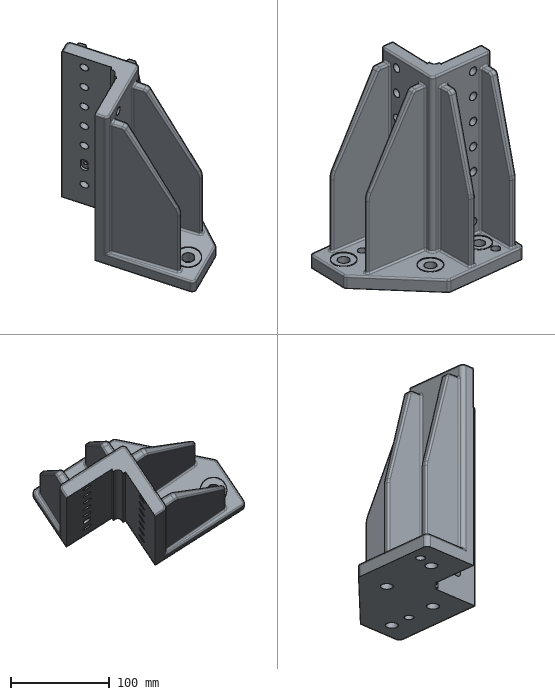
import cadquery as cq
import math

LENGTH = 175.0
DEPTH = 130.0
HEIGHT = 224.0
BASE_THICKNESS = 15.0
BASE_SIDE_LENGTH = 55.0

INNER = 65.0
WALL_THICKNESS = 15.0
OUTER = INNER + WALL_THICKNESS

PAD_WIDTH = 10.0
PAD_THICKNESS = 3.0
PAD_RADIUS = 5.0

CORNER_RADIUS = 5.0
EDGE_RADIUS = 2.0

RIB_OFFSETS = (10.0, 65.0)
RIB_ROOT_WIDTH = 10.0
RIB_DRAFT = 2.0
RIB_TOP = 210.0
RIB_TOP_END = 95.0
X_RIB_END = 155.0
X_RIB_SLOPE = 60.0
Y_RIB_END = 125.0
Y_RIB_SLOPE = 75.0
RIB_TOP_BEND = 5.0
RIB_SHOULDER_BEND = 20.0

BOLT_DIAMETER = 13.0
SPOTFACE_DIAMETER = 27.0
SPOTFACE_DEPTH = 1.0
BOLT_POSITIONS = ((30.0, 95.0), (95.0, 95.0), (95.0, 30.0), (155.0, 30.0))
PIN_DIAMETER = 10.0
PIN_POSITIONS = ((25.0, 115.0), (130.0, 30.0))

ROW_OFFSET = 25.0
ROW_PITCH = 30.0
ROW_COUNT = 7
ROW_HEIGHTS = [ROW_PITCH * step for step in range(1, ROW_COUNT + 1)]
ROW_HOLE_DIAMETER = 9.5
SLOT_HEIGHT = ROW_HEIGHTS[1]
SLOT_WIDTH = 8.5
SLOT_LENGTH = 16.0
SLOT_DEPTH = 3.0
SLOT_HOLE_DIAMETER = 4.0

SELECTION_MARGIN = 0.1


def base_plate():
    bevel = DEPTH - BASE_SIDE_LENGTH
    outline = [
        (0, 0),
        (LENGTH, 0),
        (LENGTH, BASE_SIDE_LENGTH),
        (LENGTH - bevel, DEPTH),
        (0, DEPTH),
    ]
    plate = cq.Workplane("XY").polyline(outline).close().extrude(BASE_THICKNESS)
    plate = plate.edges("|Z and (>X or >Y)").fillet(CORNER_RADIUS)
    return plate.faces(">Z").edges().fillet(EDGE_RADIUS)


def wall_block():
    """Solid block bounded by the back faces of the wall; corner_void hollows out its front."""
    block = cq.Workplane("XY").rect(OUTER, OUTER, centered=False).extrude(HEIGHT)
    block = block.edges("|Z and (>X or >Y)").fillet(CORNER_RADIUS)
    return block.faces(">Z").edges().fillet(EDGE_RADIUS)


def corner_void():
    """Space in front of the two working faces, leaving the stepped corner pad standing."""
    pad_end = INNER - PAD_WIDTH
    pad_face = INNER - PAD_THICKNESS
    arc_centre = pad_face - PAD_RADIUS
    arc_middle = arc_centre + PAD_RADIUS * math.cos(math.radians(45))
    return (
        cq.Workplane("XY")
        .lineTo(0, INNER)
        .lineTo(pad_end, INNER)
        .lineTo(pad_end, pad_face)
        .lineTo(arc_centre, pad_face)
        .threePointArc((arc_middle, arc_middle), (pad_face, arc_centre))
        .lineTo(pad_face, pad_end)
        .lineTo(INNER, pad_end)
        .lineTo(INNER, 0)
        .close()
        .extrude(HEIGHT)
    )


def x_rib(end, slope_angle):
    """Tapered rib along +X, centred on y = 0 and rooted inside the wall."""
    start = OUTER - WALL_THICKNESS / 2
    shoulder = RIB_TOP - (end - RIB_TOP_END) * math.tan(math.radians(slope_angle))
    side_outline = [(start, 0), (end, 0), (end, shoulder), (RIB_TOP_END, RIB_TOP), (start, RIB_TOP)]
    side = cq.Workplane("XZ").polyline(side_outline).close().extrude(RIB_ROOT_WIDTH, both=True)
    side = side.edges(cq.NearestToPointSelector((end, 0, shoulder))).fillet(RIB_SHOULDER_BEND)
    side = side.edges(cq.NearestToPointSelector((RIB_TOP_END, 0, RIB_TOP))).fillet(RIB_TOP_BEND)

    taper = math.tan(math.radians(RIB_DRAFT))
    start_half = RIB_ROOT_WIDTH / 2 + (OUTER - start) * taper
    end_half = RIB_ROOT_WIDTH / 2 - (end - OUTER) * taper
    plan_outline = [(start, -start_half), (end, -end_half), (end, end_half), (start, start_half)]
    plan = cq.Workplane("XY").polyline(plan_outline).close().extrude(RIB_TOP)

    rib = side.intersect(plan)
    return rib.faces(">Y or <Y").edges("not (<X or <Z)").fillet(EDGE_RADIUS)


def y_rib(end, slope_angle):
    """The same kind of rib along +Y, centred on x = 0."""
    return x_rib(end, slope_angle).rotate((0, 0, 0), (0, 0, 1), 90)


def round_feet(body):
    """Round where wall and ribs stand on the base, and where the ribs leave the wall."""
    box = cq.selectors.BoxSelector

    inside = EDGE_RADIUS + SELECTION_MARGIN
    beside_wall = OUTER + SELECTION_MARGIN
    above_base = BASE_THICKNESS + SELECTION_MARGIN
    x_rib_feet = box((inside, inside, 0), (X_RIB_END + SELECTION_MARGIN, beside_wall, above_base))
    y_rib_feet = box((inside, inside, 0), (beside_wall, Y_RIB_END + SELECTION_MARGIN, above_base))
    open_floor = (BOLT_POSITIONS[1][0], BOLT_POSITIONS[1][1], BASE_THICKNESS)
    feet = body.faces(cq.NearestToPointSelector(open_floor)).edges(x_rib_feet + y_rib_feet)

    before_wall = OUTER - SELECTION_MARGIN
    low = CORNER_RADIUS - SELECTION_MARGIN
    high = OUTER - CORNER_RADIUS - SELECTION_MARGIN
    above_ribs = RIB_TOP + SELECTION_MARGIN
    x_rib_roots = box((before_wall, low, above_base), (beside_wall, high, above_ribs))
    y_rib_roots = box((low, before_wall, above_base), (high, beside_wall, above_ribs))
    roots = body.edges(x_rib_roots + y_rib_roots)

    return feet.add(roots).fillet(EDGE_RADIUS)


def base_holes():
    bolts = cq.Workplane("XY").pushPoints(BOLT_POSITIONS).circle(BOLT_DIAMETER / 2).extrude(BASE_THICKNESS)
    pins = cq.Workplane("XY").pushPoints(PIN_POSITIONS).circle(PIN_DIAMETER / 2).extrude(BASE_THICKNESS)
    spotfaces = (
        cq.Workplane("XY", origin=(0, 0, BASE_THICKNESS - SPOTFACE_DEPTH))
        .pushPoints(BOLT_POSITIONS)
        .circle(SPOTFACE_DIAMETER / 2)
        .extrude(SPOTFACE_DEPTH)
    )
    return bolts.union(pins).union(spotfaces)


def wall_holes():
    """Both hole rows, running from the working faces through to the back of the wall."""
    x_leg = cq.Workplane("XZ", origin=(0, INNER, 0))
    y_leg = cq.Workplane("YZ", origin=(INNER, 0, 0))
    x_leg_points = [(ROW_OFFSET, z) for z in ROW_HEIGHTS if z != SLOT_HEIGHT]
    y_leg_points = [(ROW_OFFSET, z) for z in ROW_HEIGHTS]
    slot_centre = [(ROW_OFFSET, SLOT_HEIGHT)]

    holes = x_leg.pushPoints(x_leg_points).circle(ROW_HOLE_DIAMETER / 2).extrude(-WALL_THICKNESS)
    slot = x_leg.pushPoints(slot_centre).slot2D(SLOT_LENGTH, SLOT_WIDTH, 90).extrude(-SLOT_DEPTH)
    slot_hole = x_leg.pushPoints(slot_centre).circle(SLOT_HOLE_DIAMETER / 2).extrude(-WALL_THICKNESS)
    y_leg_holes = y_leg.pushPoints(y_leg_points).circle(ROW_HOLE_DIAMETER / 2).extrude(WALL_THICKNESS)
    return holes.union(slot).union(slot_hole).union(y_leg_holes)


body = base_plate().union(wall_block())
for offset in RIB_OFFSETS:
    body = body.union(x_rib(X_RIB_END, X_RIB_SLOPE).translate((0, offset, 0)))
    body = body.union(y_rib(Y_RIB_END, Y_RIB_SLOPE).translate((offset, 0, 0)))
body = round_feet(body)

result = body.cut(corner_void()).cut(base_holes()).cut(wall_holes())